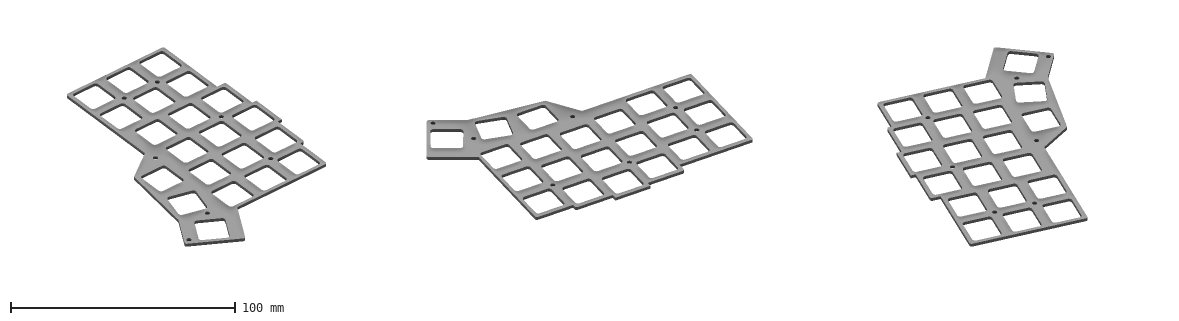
import cadquery as cq
import math


thickness = 1.6
pitch = 19.0
cell_width = 18.0
cell_height = 18.1
outline_radius = 1.0
screw_hole_diameter = 2.3

cutout_width = 14.7
cutout_height = 14.0
cutout_radius = 1.5

row_count = 3
column_rise = [eighths * pitch / 8 for eighths in (0, 0, 2, 3, 2, 1)]
field_width = (len(column_rise) - 1) * pitch + cell_width
field_height = (row_count - 1) * pitch + cell_height

inner_thumb = (3.5 * pitch + cell_width / 2, -5.75)
middle_thumb = (96.42, -8.45)
outer_thumb = (118.602, -12.167)
middle_tilt = 15
outer_tilt = 30
outer_thumb_length = 27.4

thumb_screw_left = (61.7, 1.5)
thumb_screw_right = (108.1, -6.3)
thumb_screw_end = (6.14, -11.4)


def key_center(column, row):
    x = column * pitch + cell_width / 2
    y = row * pitch + cell_height / 2 + column_rise[column]
    return (x, y)


def column_left(column):
    return column * pitch


def column_right(column):
    return column * pitch + cell_width


def column_top(column):
    return field_height + column_rise[column]


def on_outer_thumb(across, along):
    """Point given in the tilted frame of the outer thumb key."""
    tilt = math.radians(outer_tilt)
    x = outer_thumb[0] + across * math.cos(tilt) + along * math.sin(tilt)
    y = outer_thumb[1] - across * math.sin(tilt) + along * math.cos(tilt)
    return (x, y)


thumb_end_top = on_outer_thumb(cell_width / 2, outer_thumb_length / 2)
thumb_end_bottom = on_outer_thumb(cell_width / 2, -outer_thumb_length / 2)
thumb_inner_bottom = on_outer_thumb(-cell_width / 2, -outer_thumb_length / 2)


def thumb_junction():
    """Where the upper edge of the outer thumb key meets the right side of the key field."""
    run = thumb_end_top[0] - field_width
    return (field_width, thumb_end_top[1] + run * math.tan(math.radians(outer_tilt)))


def plate():
    rounded_corners = [
        (0, 0),
        (0, column_top(0)),
        (column_left(2), column_top(2)),
        (column_right(4), column_top(4)),
        (field_width, column_top(5)),
        thumb_end_top,
        thumb_end_bottom,
    ]
    outline = [
        (0, 0),
        (0, column_top(0)),
        (column_left(2), column_top(0)),
        (column_left(2), column_top(2)),
        (column_left(3), column_top(2)),
        (column_left(3), column_top(3)),
        (column_right(3), column_top(3)),
        (column_right(3), column_top(4)),
        (column_right(4), column_top(4)),
        (column_right(4), column_top(5)),
        (field_width, column_top(5)),
        thumb_junction(),
        thumb_end_top,
        thumb_end_bottom,
        thumb_inner_bottom,
        (inner_thumb[0] - cell_width / 2, inner_thumb[1] - cell_height / 2),
        (column_right(2), 0),
    ]
    body = cq.Workplane("XY").polyline(outline).close().extrude(thickness)
    for x, y in rounded_corners:
        corner = cq.selectors.NearestToPointSelector((x, y, thickness / 2))
        body = body.edges("|Z").edges(corner).fillet(outline_radius)
    return body


def switch_cutout(center, tilt=0):
    """Rounded opening for one switch, turned clockwise by the tilt."""
    return (
        cq.Workplane("XY")
        .rect(cutout_width, cutout_height)
        .extrude(thickness)
        .edges("|Z")
        .fillet(cutout_radius)
        .rotate((0, 0, 0), (0, 0, 1), -tilt)
        .translate((center[0], center[1], 0))
    )


def cut_switches(body):
    for column in range(len(column_rise)):
        for row in range(row_count):
            body = body.cut(switch_cutout(key_center(column, row)))
    body = body.cut(switch_cutout(inner_thumb))
    body = body.cut(switch_cutout(middle_thumb, middle_tilt))
    return body.cut(switch_cutout(outer_thumb, outer_tilt))


def gap_between_keys(column, row):
    """Middle of the four keys that meet above the row and right of the column."""
    lower_left_key = key_center(column, row)
    upper_right_key = key_center(column + 1, row + 1)
    x = (lower_left_key[0] + upper_right_key[0]) / 2
    y = (lower_left_key[1] + upper_right_key[1]) / 2
    return (x, y)


def cut_screw_holes(body):
    centers = [
        gap_between_keys(0, 0),
        gap_between_keys(0, 1),
        gap_between_keys(2, 1),
        gap_between_keys(4, 1),
        thumb_screw_left,
        thumb_screw_right,
        on_outer_thumb(*thumb_screw_end),
    ]
    holes = cq.Workplane("XY").pushPoints(centers).circle(screw_hole_diameter / 2).extrude(thickness)
    return body.cut(holes)


result = cut_screw_holes(cut_switches(plate()))